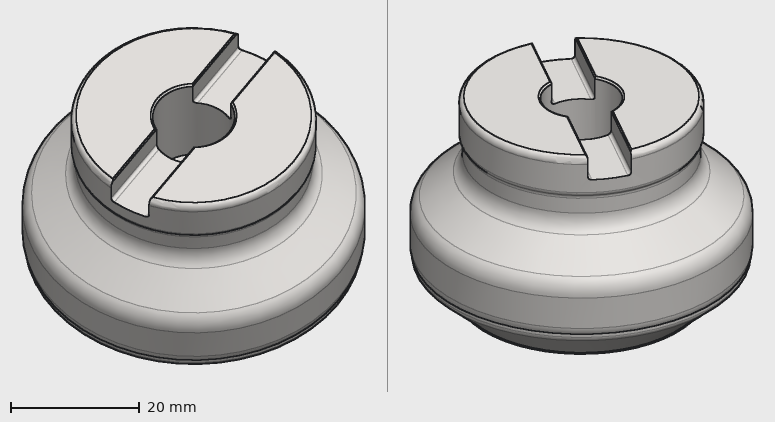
import cadquery as cq
import math

height = 34.9
rim_radius = 26.6
head_radius = 38.0 / 2
neck_radius = 37.0 / 2

base_radius = 19.5
base_land = 0.25
cone_top_radius = 25.95
cone_top_z = 6.1
ring_radius = 26.35
ring_z = 6.9
ring_round = 0.95
rim_step_z = 7.45
rim_lower_round = 2.75
rim_bottom_z = 8.65

rim_top_z = 14.1
blend_radius = 4.0
shoulder_angle = math.radians(50)

head_bottom_z = 28.55
head_lower_round = 0.75
neck_top_z = 27.3
head_flat_radius = 18.25
head_upper_drop = 1.3

hole_diameter = 7.0
hole_chamfer = 0.5
counterbore_diameter = 12.7
counterbore_depth = 15.95
counterbore_chamfer = 0.3

slot_width = 6.9
slot_depth = 4.1
slot_floor_round = 0.6
slot_edge_chamfer = 0.2


def polar(center, radius, angle):
    """Point on a circle of the profile plane, given as (radius, z)."""
    return (center[0] + radius * math.cos(angle), center[1] + radius * math.sin(angle))


def make_body():
    rim_center = (rim_radius - blend_radius, rim_top_z)
    shoulder_low = polar(rim_center, blend_radius, shoulder_angle)
    shoulder_width = (
        rim_radius - neck_radius - 2 * blend_radius * (1 - math.cos(shoulder_angle))
    )
    shoulder_rise = shoulder_width / math.tan(shoulder_angle)
    shoulder_high = (shoulder_low[0] - shoulder_width, shoulder_low[1] + shoulder_rise)
    neck_bottom_z = shoulder_high[1] + blend_radius * math.sin(shoulder_angle)
    neck_center = (neck_radius + blend_radius, neck_bottom_z)

    undercut = ((head_radius + neck_radius) / 2, (head_bottom_z + neck_top_z) / 2)

    profile = (
        cq.Workplane("XZ")
        .lineTo(base_radius, 0)
        .lineTo(base_radius, base_land)
        .lineTo(cone_top_radius, cone_top_z)
        .radiusArc((ring_radius, ring_z), -ring_round)
        .lineTo(ring_radius, rim_step_z)
        .radiusArc((rim_radius, rim_bottom_z), -rim_lower_round)
        .lineTo(rim_radius, rim_top_z)
        .threePointArc(polar(rim_center, blend_radius, shoulder_angle / 2), shoulder_low)
        .lineTo(*shoulder_high)
        .threePointArc(
            polar(neck_center, blend_radius, math.pi + shoulder_angle / 2),
            (neck_radius, neck_bottom_z),
        )
        .lineTo(neck_radius, neck_top_z)
        .radiusArc(undercut, head_lower_round)
        .radiusArc((head_radius, head_bottom_z), -head_lower_round)
        .lineTo(head_radius, height - head_upper_drop)
        .radiusArc((head_flat_radius, height), -head_upper_drop)
        .lineTo(0, height)
        .close()
    )
    return profile.revolve(360, (0, 0, 0), (0, 1, 0))


def make_bore():
    hole_radius = hole_diameter / 2
    counterbore_radius = counterbore_diameter / 2
    counterbore_z = height - counterbore_depth
    profile = (
        cq.Workplane("XZ")
        .lineTo(hole_radius, 0)
        .lineTo(hole_radius, counterbore_z - hole_chamfer)
        .lineTo(hole_radius + hole_chamfer, counterbore_z)
        .lineTo(counterbore_radius, counterbore_z)
        .lineTo(counterbore_radius, height - counterbore_chamfer)
        .lineTo(counterbore_radius + counterbore_chamfer, height)
        .lineTo(0, height)
        .close()
    )
    return profile.revolve(360, (0, 0, 0), (0, 1, 0))


def make_slot():
    half_width = slot_width / 2
    floor_half = half_width - slot_floor_round
    edge_half = half_width + slot_edge_chamfer
    floor_z = height - slot_depth
    return (
        cq.Workplane("XZ")
        .moveTo(-floor_half, floor_z)
        .lineTo(floor_half, floor_z)
        .radiusArc((half_width, floor_z + slot_floor_round), -slot_floor_round)
        .lineTo(half_width, height - slot_edge_chamfer)
        .lineTo(edge_half, height)
        .lineTo(-edge_half, height)
        .lineTo(-half_width, height - slot_edge_chamfer)
        .lineTo(-half_width, floor_z + slot_floor_round)
        .radiusArc((-floor_half, floor_z), -slot_floor_round)
        .close()
        .extrude(rim_radius, both=True)
    )


result = make_body().cut(make_bore()).cut(make_slot())